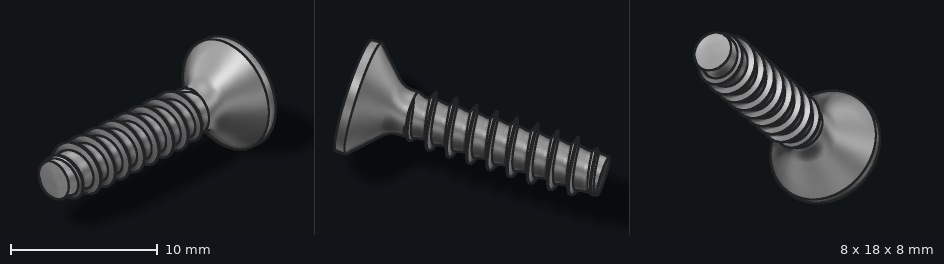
import cadquery as cq
import math


length = 18.0
head_radius = 4.0
neck_radius = 1.6
root_radius = 1.39
crest_radius = 2.0

rim_height = 0.72
rim_fillet = 0.05
cone_angle = math.radians(45)
neck_fillet = 1.53
neck_end = 4.14
neck_taper_length = 0.63

dish_radius = 1.3
dish_depth = 0.15

pitch = 11.7 / 8
helix_start = 2.3
overrun = 0.54
turns = (length + overrun - helix_start) / pitch
points_per_turn = 16

lower_flank = 0.15
upper_flank = 0.1
crest_width = 0.09
tip_flank = 0.16
taper_length = 0.75
knee_radius = 1.65
shoulder_radius = 1.51
sink = 0.02
base_radius = 1.17

run_in_end = 5.58
run_in_length = 2.77
run_out_length = 1.4 * pitch


def make_shank():
    """Head, neck and the plain core of the thread as one revolved body."""

    def fillet_point(angle):
        radius = neck_radius + neck_fillet * (1 - math.cos(angle))
        return radius, neck_fillet * math.sin(angle)

    top_radius, fillet_height = fillet_point(cone_angle)
    mid_radius, mid_height = fillet_point(cone_angle / 2)
    fillet_start = rim_height + (head_radius - top_radius) / math.tan(cone_angle)
    fillet_end = fillet_start + fillet_height
    outline = (
        cq.Workplane("XY")
        .lineTo(head_radius, 0)
        .lineTo(head_radius, -rim_height)
        .lineTo(top_radius, -fillet_start)
        .threePointArc((mid_radius, mid_height - fillet_end), (neck_radius, -fillet_end))
        .lineTo(neck_radius, -neck_end)
        .lineTo(root_radius, -(neck_end + neck_taper_length))
        .lineTo(root_radius, -length)
        .lineTo(0, -length)
        .close()
    )
    shank = outline.revolve(360, (0, 0), (0, 1))
    return shank.faces(">Y").edges().fillet(rim_fillet)


def full_height(depth):
    """Constant share, for the edges buried in the core."""
    return 1.0


def shoulder_height(depth):
    """Share of the full height above the root, dying out at the tip."""
    return min(1.0, (length - depth) / run_out_length)


def crest_height(depth):
    """Share of the full height above the root, fading at both thread ends."""
    run_in = 1.0 - (run_in_end - depth) / run_in_length
    return min(run_in, shoulder_height(depth))


def helix(offset, radius, share):
    """Right-handed edge around Y, its height above the root scaled by share(depth)."""
    points = []
    steps = round(turns * points_per_turn)
    turn_marks = [turns * step / steps for step in range(steps + 1)]
    for turn in turn_marks:
        depth = helix_start + pitch * turn
        local_radius = root_radius + (radius - root_radius) * share(depth)
        angle = 2 * math.pi * turn
        x = local_radius * math.cos(angle)
        z = local_radius * math.sin(angle)
        points.append(cq.Vector(x, -(depth + offset), z))
    return cq.Edge.makeSpline(points, parameters=turn_marks)


def make_ridge():
    """Helical ridge: kinked head-side flank, narrow crest, long tip-side taper."""
    crest_tip = crest_width / 2
    crest_head = -crest_tip
    knee = crest_head - upper_flank
    head_root = knee - lower_flank
    shoulder = crest_tip + tip_flank
    tip_root = shoulder + taper_length
    sunk_radius = root_radius - sink
    edges = [
        helix(head_root, base_radius, full_height),
        helix(head_root, sunk_radius, full_height),
        helix(knee, knee_radius, crest_height),
        helix(crest_head, crest_radius, crest_height),
        helix(crest_tip, crest_radius, crest_height),
        helix(shoulder, shoulder_radius, shoulder_height),
        helix(tip_root, sunk_radius, full_height),
        helix(tip_root, base_radius, full_height),
    ]
    faces = [cq.Face.makeRuledSurface(edges[i - 1], edges[i]) for i in range(len(edges))]
    for end in (0, 1):
        corners = [edge.positionAt(end) for edge in edges]
        faces.append(cq.Face.makeFromWires(cq.Wire.makePolygon(corners, close=True)))
    return cq.Workplane(cq.Solid.makeSolid(cq.Shell.makeShell(faces)))


def make_thread():
    """Ridge on its core, trimmed to run from the neck end to the tip."""
    core = cq.Workplane("XZ").circle(root_radius).extrude(length + 2 * pitch)
    threaded_zone = (
        cq.Workplane("XZ", origin=(0, -neck_end, 0))
        .circle(head_radius)
        .extrude(length - neck_end)
    )
    return core.union(make_ridge()).intersect(threaded_zone)


def make_dish():
    """Ball that leaves the shallow dish in the tip face."""
    ball_radius = (dish_radius**2 + dish_depth**2) / (2 * dish_depth)
    center = -length + dish_depth - ball_radius
    return cq.Workplane("XY", origin=(0, center, 0)).sphere(ball_radius)


result = make_shank().union(make_thread()).cut(make_dish()).solids()